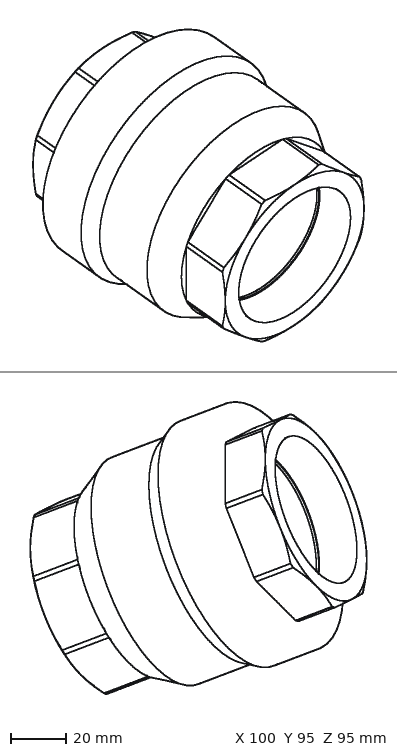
import cadquery as cq
import math

length = 100.0
flange_start = 17.0
flange_end = 37.9
tail_end = 79.8

flange_radius = 95.0 / 2
barrel_radius = 88.0 / 2
tail_radius = 75.0 / 2
flange_fillet = 1.7
cone_angle = math.radians(30)

across_flats = 70.0
corner_radius = 75.0 / 2
flat_count = 8

socket_radius = 56.4 / 2
floor_radius = 55.4 / 2
socket_depth = 17.0
floor_step = 1.0


def cylinder(start, end, radius):
    return cq.Workplane("YZ", origin=(start, 0, 0)).circle(radius).extrude(end - start)


def body():
    """Flange and barrel joined by a cone, ending in a second cone."""
    barrel_start = flange_end + (flange_radius - barrel_radius) / math.tan(cone_angle)
    barrel_end = tail_end - (barrel_radius - tail_radius) / math.tan(cone_angle)
    profile = (
        cq.Workplane("XY")
        .moveTo(flange_start, 0)
        .lineTo(flange_start, flange_radius - flange_fillet)
        .radiusArc((flange_start + flange_fillet, flange_radius), flange_fillet)
        .lineTo(flange_end, flange_radius)
        .lineTo(barrel_start, barrel_radius)
        .lineTo(barrel_end, barrel_radius)
        .lineTo(tail_end, tail_radius)
        .lineTo(tail_end, 0)
        .close()
    )
    return profile.revolve(360, (0, 0, 0), (1, 0, 0))


def wrench_bar():
    """Full-length octagonal bar with turned corners and chamfered ends."""
    across_corners = across_flats / math.cos(math.pi / flat_count)
    octagon = (
        cq.Workplane("YZ")
        .transformed(rotate=(0, 0, 180 / flat_count))
        .polygon(flat_count, across_corners)
        .extrude(length)
    )
    end_radius = across_flats / 2
    chamfer_length = (corner_radius - end_radius) * math.tan(cone_angle)
    envelope = (
        cq.Workplane("XY")
        .moveTo(0, 0)
        .lineTo(0, end_radius)
        .lineTo(chamfer_length, corner_radius)
        .lineTo(length - chamfer_length, corner_radius)
        .lineTo(length, end_radius)
        .lineTo(length, 0)
        .close()
        .revolve(360, (0, 0, 0), (1, 0, 0))
    )
    return octagon.intersect(envelope)


def left_socket():
    step_start = socket_depth - floor_step
    main_bore = cylinder(0, step_start, socket_radius)
    return main_bore.union(cylinder(0, socket_depth, floor_radius))


socket = left_socket()
right_socket = socket.mirror("YZ", (length / 2, 0, 0))
result = body().union(wrench_bar()).cut(socket).cut(right_socket)
result = result.translate((-length / 2, 0, 0))